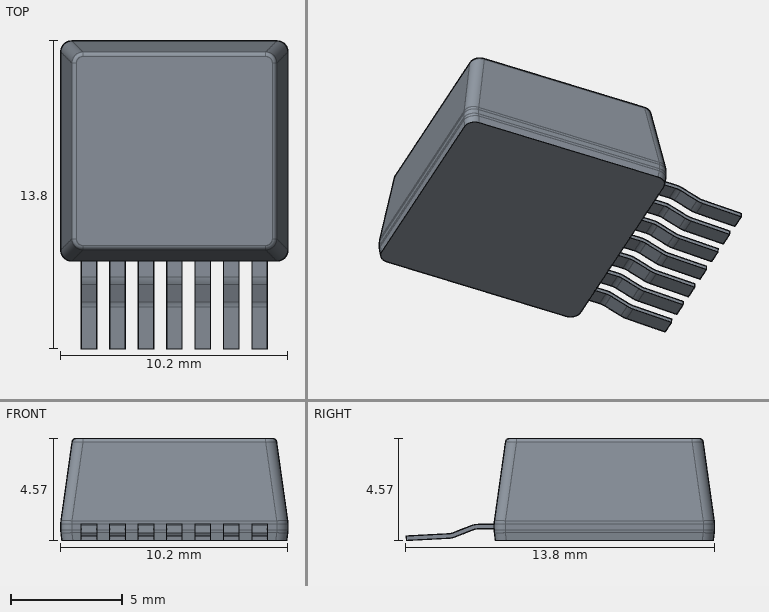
import cadquery as cq
import math

body_width = 10.16
overall_length = 13.78
lead_reach = 3.93
body_depth = overall_length - lead_reach
body_height = 4.57
parting_bottom = 0.42
parting_top = 0.81
upper_draft = math.radians(8)
lower_draft = math.radians(7)
corner_radius = 0.5
parting_radius = 1.0
top_edge_radius = 0.2

lead_count = 7
lead_pitch = 1.27
lead_width = 0.7
lead_thickness = 0.21
bend_radius = 0.8
shoulder_length = 0.7
ramp_length = 0.85
ramp_angle = math.radians(21.5)
foot_angle = math.radians(3)
root_depth = 0.5


def drafted_prism(plane, width, length):
    """Prism of body height whose two sides are drafted above and below the parting band."""
    half_width = width / 2
    lower_tangent = parting_radius * math.tan(lower_draft / 2)
    upper_tangent = parting_radius * math.tan(upper_draft / 2)

    def lower_side(height):
        return (half_width - (parting_bottom - height) * math.tan(lower_draft), height)

    def upper_side(height):
        return (half_width - (height - parting_top) * math.tan(upper_draft), height)

    lower_bend_start = lower_side(parting_bottom - lower_tangent * math.cos(lower_draft))
    lower_bend_end = (half_width, parting_bottom + lower_tangent)
    upper_bend_start = (half_width, parting_top - upper_tangent)
    upper_bend_end = upper_side(parting_top + upper_tangent * math.cos(upper_draft))
    return (
        cq.Workplane(plane)
        .lineTo(*lower_side(0))
        .lineTo(*lower_bend_start)
        .radiusArc(lower_bend_end, -parting_radius)
        .lineTo(*upper_bend_start)
        .radiusArc(upper_bend_end, -parting_radius)
        .lineTo(*upper_side(body_height))
        .lineTo(0, body_height)
        .mirrorY()
        .extrude(length / 2, both=True)
    )


def make_body():
    """Body drafted on all four sides, with rounded corners and a rounded top rim."""
    body = drafted_prism("XZ", body_width, body_depth)
    body = body.intersect(drafted_prism("YZ", body_depth, body_width))
    body = body.edges("not #Z").fillet(corner_radius)
    return body.faces(">Z").edges().fillet(top_edge_radius)


def make_lead():
    """One lead at X = 0, a flat strip swept along its bent centre line."""
    body_face = -body_depth / 2
    ramp_fall = math.sin(ramp_angle)
    ramp_run = math.cos(ramp_angle)
    foot_fall = math.sin(foot_angle)
    foot_run = math.cos(foot_angle)

    first_bend_end = (
        shoulder_length + bend_radius * ramp_fall,
        bend_radius * (1 - ramp_run),
    )
    second_bend_start = (
        first_bend_end[0] + ramp_length * ramp_run,
        first_bend_end[1] + ramp_length * ramp_fall,
    )
    foot_start = (
        second_bend_start[0] + bend_radius * (ramp_fall - foot_fall),
        second_bend_start[1] + bend_radius * (foot_run - ramp_run),
    )
    foot_end_distance = lead_reach - lead_thickness / 2 * foot_fall
    foot_end = (
        foot_end_distance,
        foot_start[1] + (foot_end_distance - foot_start[0]) * math.tan(foot_angle),
    )
    shoulder_height = foot_end[1] + lead_thickness / 2 * foot_run

    def place(point):
        return (body_face - point[0], shoulder_height - point[1])

    path = (
        cq.Workplane("YZ")
        .moveTo(*place((-root_depth, 0)))
        .lineTo(*place((shoulder_length, 0)))
        .radiusArc(place(first_bend_end), -bend_radius)
        .lineTo(*place(second_bend_start))
        .radiusArc(place(foot_start), bend_radius)
        .lineTo(*place(foot_end))
    )
    return (
        cq.Workplane("XZ", origin=(0, body_face + root_depth, shoulder_height))
        .rect(lead_width, lead_thickness)
        .sweep(path)
    )


result = make_body()
lead = make_lead()
for index in range(lead_count):
    lead_x = (index - (lead_count - 1) / 2) * lead_pitch
    result = result.union(lead.translate((lead_x, 0, 0)))